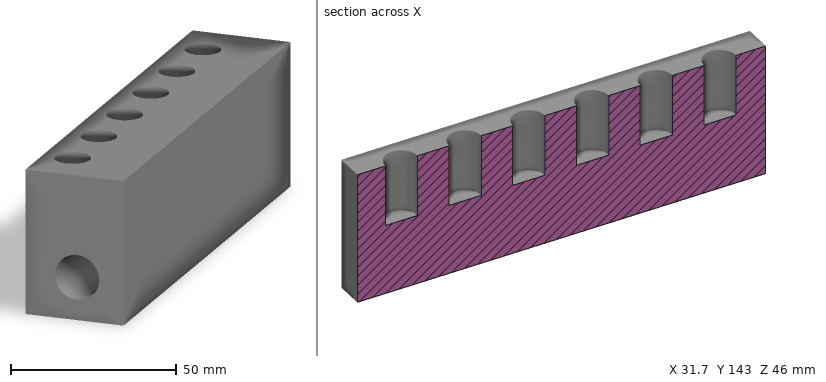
import cadquery as cq

width = 31.7
length = 143
height = 46.0

bore_diameter = 14.3
bore_x = 16.7
bore_z = 13.6

hole_diameter = 11.2
hole_depth = 21.5
hole_x = 9.5
hole_count = 6
hole_pitch = 22.3
first_hole_y = 15.5


def long_bore():
    """Cylinder along Y through both end faces."""
    return cq.Workplane("XZ").center(bore_x, bore_z).circle(bore_diameter / 2).extrude(-length)


def top_hole(y):
    """Flat-bottomed hole sunk from the top face."""
    return cq.Workplane("XY", origin=(hole_x, y, height)).circle(hole_diameter / 2).extrude(-hole_depth)


result = cq.Workplane("XY").box(width, length, height, centered=False)
result = result.cut(long_bore())
for i in range(hole_count):
    result = result.cut(top_hole(first_hole_y + i * hole_pitch))